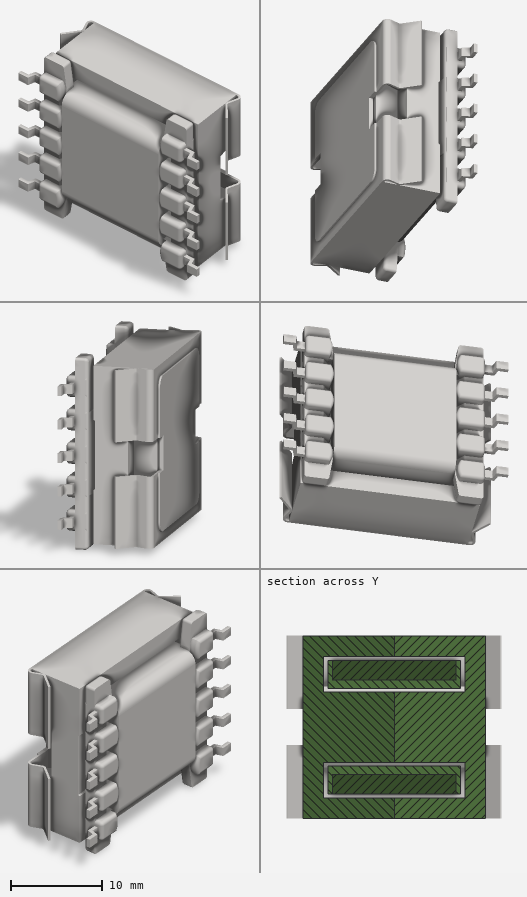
import cadquery as cq
import math


CORE_HALF_X = 10.0
CORE_HALF_Z = 10.0
CORE_FRONT_Y = 3.39
CORE_DEPTH = 6.65
CORE_BACK_Y = CORE_FRONT_Y + CORE_DEPTH
WINDOW_HALF_X = 7.7
WINDOW_HALF_Z = 7.7
LEG_HALF_Z = 4.45
LEG_FRONT_Y = 3.59
LEG_BACK_Y = 7.3
LEG_CHAMFER = 0.6
FRONT_RECESS_OUTER = 3.94
FRONT_RECESS_INNER = 3.83
BACK_RECESS_OUTER = 4.0
BACK_RECESS_INNER = 3.05

WINDING_HALF_X = 6.8
WINDING_HALF_Z = 7.33
WINDING_FRONT_Y = 0.46
WINDING_BACK_Y = 9.9
WINDING_CORNER = 1.3

HOLE_HALF_Z = 4.65
HOLE_FRONT_Y = 3.18
HOLE_BACK_Y = LEG_BACK_Y
HOLE_CHAMFER = 0.85
TUBE_WALL = 0.5
FLANGE_THICKNESS = 0.5
FLANGE_OUTER_X = WINDING_HALF_X + FLANGE_THICKNESS

RAIL_OUTER_X = 10.0
RAIL_TIP_X = 7.25
RAIL_HALF_Z = 10.74
RAIL_FRONT_Y = 1.32
RAIL_BACK_Y = 2.79
RAIL_CORNER = 0.3
RAIL_BACK_FILLET = 0.42
SLOT_OUTER_X = 7.85
SLOT_HALF_Z = 6.4
SLOT_DEEP_Y = 2.6
RAMP_START_X = 9.6

PIN_COUNT = 5
PIN_PITCH = 3.75
BLOCK_WIDTH = 2.4
BLOCK_FRONT_Y = 0.27
BLOCK_INNER_X = 6.83
END_BLOCK_SETBACK = 0.13
BLOCK_END_RISE = 0.33
BLOCK_FILLET = 0.4
PIN_WIDTH = 1.05
PIN_THICKNESS = 0.45
PIN_TIP_X = 12.54
PIN_HEEL_X = 11.18
PIN_KNEE_X = 10.9
PIN_BEND_SHIFT = 0.28

SHEET = 0.26
CLIP_BACK_Y = CORE_BACK_Y + SHEET
CLIP_HALF_Z = CORE_HALF_Z
BEND_INNER_R = 0.32
BEND_CENTRE_X = 10.15
ARM_ANGLE = math.radians(20.5)
TAIL_ANGLE = math.radians(39.5)
TAIL_LENGTH = 2.33
ELBOW_INNER_R = 0.5
CLIP_GAP_HALF_Z = 1.95
CLIP_GAP_END_X = 6.9
PAD_HALF_X = 8.45
PAD_HALF_Z = 8.72
PAD_CORNER = 1.2
PAD_BACK_Y = 10.53


def box(x0, x1, y0, y1, z0, z1):
    """Block between two opposite corners."""
    return cq.Workplane("XY").box(x1 - x0, y1 - y0, z1 - z0, centered=False).translate((x0, y0, z0))


def prism_x(points, x0, x1):
    """Extrude an outline of (y, z) points along X from x0 to x1."""
    return cq.Workplane("YZ", origin=(x0, 0, 0)).polyline(points).close().extrude(x1 - x0)


def prism_y(outline, y0, y1):
    """Extrude a closed outline drawn in (x, z) at y = 0 so that it spans y0 to y1."""
    return outline.extrude(-(y1 - y0)).translate((0, y0, 0))


def mirror_x(body):
    return body.mirror("YZ")


def make_core_half():
    """Half of the E core on the +X side."""
    body = box(0, CORE_HALF_X, CORE_FRONT_Y, CORE_BACK_Y, -CORE_HALF_Z, CORE_HALF_Z)
    window = box(0, WINDOW_HALF_X, CORE_FRONT_Y, CORE_BACK_Y, -WINDOW_HALF_Z, WINDOW_HALF_Z)
    front_recess = prism_x(
        [
            (CORE_FRONT_Y, -FRONT_RECESS_OUTER),
            (LEG_FRONT_Y, -FRONT_RECESS_INNER),
            (LEG_FRONT_Y, FRONT_RECESS_INNER),
            (CORE_FRONT_Y, FRONT_RECESS_OUTER),
        ],
        0,
        CORE_HALF_X,
    )
    back_recess = prism_x(
        [
            (CORE_BACK_Y, -BACK_RECESS_OUTER),
            (LEG_BACK_Y, -BACK_RECESS_INNER),
            (LEG_BACK_Y, BACK_RECESS_INNER),
            (CORE_BACK_Y, BACK_RECESS_OUTER),
        ],
        0,
        CORE_HALF_X,
    )
    leg = box(0, WINDOW_HALF_X, LEG_FRONT_Y, LEG_BACK_Y, -LEG_HALF_Z, LEG_HALF_Z)
    leg = leg.faces("<Y").edges("|X").chamfer(LEG_CHAMFER)
    return body.cut(window).cut(front_recess).cut(back_recess).union(leg)


def tube_outer(half_x):
    """Solid envelope of the bobbin tube."""
    half_z = HOLE_HALF_Z + TUBE_WALL
    return box(-half_x, half_x, HOLE_FRONT_Y - TUBE_WALL, HOLE_BACK_Y + TUBE_WALL, -half_z, half_z)


def make_winding():
    """Round-cornered coil with an opening for the bobbin tube."""
    coil = box(
        -WINDING_HALF_X, WINDING_HALF_X, WINDING_FRONT_Y, WINDING_BACK_Y, -WINDING_HALF_Z, WINDING_HALF_Z
    )
    return coil.edges("|X").fillet(WINDING_CORNER).cut(tube_outer(WINDING_HALF_X))


def make_rail():
    """Pin rail on the -X side with a sloping wire relief along its inner edge."""
    outline = (
        cq.Workplane("XZ")
        .moveTo(-RAIL_OUTER_X, -RAIL_HALF_Z)
        .lineTo(-RAIL_TIP_X, -RAIL_HALF_Z)
        .lineTo(-WINDING_HALF_X, -WINDOW_HALF_Z)
        .lineTo(-WINDING_HALF_X, WINDOW_HALF_Z)
        .lineTo(-RAIL_TIP_X, RAIL_HALF_Z)
        .lineTo(-RAIL_OUTER_X, RAIL_HALF_Z)
        .close()
    )
    rail = prism_y(outline, RAIL_FRONT_Y, RAIL_BACK_Y)
    rail = rail.faces("<Z or >Z").edges("|Y").fillet(RAIL_CORNER)
    rail = rail.faces(">Y").edges("<X").fillet(RAIL_BACK_FILLET)
    slot = (
        cq.Workplane("XY", origin=(0, 0, -SLOT_HALF_Z))
        .moveTo(-SLOT_OUTER_X, RAIL_FRONT_Y)
        .lineTo(-WINDING_HALF_X, SLOT_DEEP_Y)
        .lineTo(-WINDING_HALF_X, RAIL_FRONT_Y)
        .close()
        .extrude(2 * SLOT_HALF_Z)
    )
    return rail.cut(slot)


def make_ramp():
    """Wedge on the back of the rail that leads into the bobbin hole."""
    profile = (
        cq.Workplane("XY", origin=(0, 0, -HOLE_HALF_Z))
        .moveTo(-RAMP_START_X, RAIL_BACK_Y)
        .lineTo(-FLANGE_OUTER_X, HOLE_FRONT_Y)
        .lineTo(-FLANGE_OUTER_X, SLOT_DEEP_Y)
        .lineTo(-SLOT_OUTER_X, SLOT_DEEP_Y)
        .close()
    )
    return profile.extrude(2 * HOLE_HALF_Z)


def make_block(z, inner_x):
    """Rounded block around one pin, with a bowed inner end."""
    half = BLOCK_WIDTH / 2
    outline = (
        cq.Workplane("XZ")
        .moveTo(-RAIL_OUTER_X, -half)
        .lineTo(-inner_x - BLOCK_END_RISE, -half)
        .threePointArc((-inner_x, 0), (-inner_x - BLOCK_END_RISE, half))
        .lineTo(-RAIL_OUTER_X, half)
        .close()
    )
    block = prism_y(outline, BLOCK_FRONT_Y, SLOT_DEEP_Y)
    block = block.edges("|Y and <X").fillet(BLOCK_FILLET).faces("<Y").edges().fillet(BLOCK_FILLET)
    return block.translate((0, 0, z))


def make_pin(z):
    """Gull-wing pin that runs into its block."""
    rise = RAIL_FRONT_Y - PIN_THICKNESS
    return (
        cq.Workplane("XY", origin=(0, 0, z - PIN_WIDTH / 2))
        .moveTo(-PIN_TIP_X, 0)
        .lineTo(-PIN_HEEL_X, 0)
        .lineTo(-PIN_KNEE_X, rise)
        .lineTo(-SLOT_OUTER_X, rise)
        .lineTo(-SLOT_OUTER_X, RAIL_FRONT_Y)
        .lineTo(-PIN_KNEE_X - PIN_BEND_SHIFT, RAIL_FRONT_Y)
        .lineTo(-PIN_HEEL_X - PIN_BEND_SHIFT, PIN_THICKNESS)
        .lineTo(-PIN_TIP_X, PIN_THICKNESS)
        .close()
        .extrude(PIN_WIDTH)
    )


def make_bobbin_end():
    """Flange, rail, blocks and pins on the -X side."""
    end = box(
        -FLANGE_OUTER_X, -WINDING_HALF_X, SLOT_DEEP_Y, WINDING_BACK_Y, -WINDING_HALF_Z, WINDING_HALF_Z
    )
    end = end.union(make_rail()).union(make_ramp())
    for index in range(PIN_COUNT):
        z = (index - (PIN_COUNT - 1) / 2) * PIN_PITCH
        is_outermost = index in (0, PIN_COUNT - 1)
        inner_x = BLOCK_INNER_X + (END_BLOCK_SETBACK if is_outermost else 0)
        end = end.union(make_block(z, inner_x)).union(make_pin(z))
    return end


def make_bobbin():
    """One-piece bobbin: tube, two ends and the hole for the core leg."""
    end = make_bobbin_end()
    hole = box(
        -FLANGE_OUTER_X, FLANGE_OUTER_X, HOLE_FRONT_Y, HOLE_BACK_Y, -HOLE_HALF_Z, HOLE_HALF_Z
    )
    hole = hole.faces("<Y").edges("|X").chamfer(HOLE_CHAMFER)
    return tube_outer(FLANGE_OUTER_X).union(end).union(mirror_x(end)).cut(hole)


def make_clip_side():
    """Half of the clip sheet on the +X side: base, bend, arm and flared tail."""
    outer_r = BEND_INNER_R + SHEET
    centre_y = CORE_BACK_Y - BEND_INNER_R
    sweep_mid = (math.pi / 2 - ARM_ANGLE) / 2

    def on_bend(radius, angle):
        return (BEND_CENTRE_X + radius * math.cos(angle), centre_y + radius * math.sin(angle))

    inner_start = on_bend(BEND_INNER_R, -ARM_ANGLE)
    elbow_centre_x = CORE_HALF_X + ELBOW_INNER_R
    elbow_start_x = elbow_centre_x - ELBOW_INNER_R * math.cos(ARM_ANGLE)
    elbow_start_y = inner_start[1] - (inner_start[0] - elbow_start_x) / math.tan(ARM_ANGLE)
    elbow_centre_y = elbow_start_y - ELBOW_INNER_R * math.sin(ARM_ANGLE)

    def on_elbow(radius, angle):
        return (elbow_centre_x - radius * math.cos(angle), elbow_centre_y + radius * math.sin(angle))

    elbow_mid = (ARM_ANGLE - TAIL_ANGLE) / 2
    elbow_outer_r = ELBOW_INNER_R - SHEET
    tail_x = TAIL_LENGTH * math.sin(TAIL_ANGLE)
    tail_y = -TAIL_LENGTH * math.cos(TAIL_ANGLE)
    tail_inner = on_elbow(ELBOW_INNER_R, -TAIL_ANGLE)
    tail_outer = on_elbow(elbow_outer_r, -TAIL_ANGLE)
    return (
        cq.Workplane("XY", origin=(0, 0, -CLIP_HALF_Z))
        .moveTo(0, CORE_BACK_Y)
        .lineTo(BEND_CENTRE_X, CORE_BACK_Y)
        .threePointArc(on_bend(BEND_INNER_R, sweep_mid), inner_start)
        .lineTo(elbow_start_x, elbow_start_y)
        .threePointArc(on_elbow(ELBOW_INNER_R, elbow_mid), tail_inner)
        .lineTo(tail_inner[0] + tail_x, tail_inner[1] + tail_y)
        .lineTo(tail_outer[0] + tail_x, tail_outer[1] + tail_y)
        .lineTo(*tail_outer)
        .threePointArc(on_elbow(elbow_outer_r, elbow_mid), on_elbow(elbow_outer_r, ARM_ANGLE))
        .lineTo(*on_bend(outer_r, -ARM_ANGLE))
        .threePointArc(on_bend(outer_r, sweep_mid), (BEND_CENTRE_X, CLIP_BACK_Y))
        .lineTo(0, CLIP_BACK_Y)
        .close()
        .extrude(2 * CLIP_HALF_Z)
    )


def make_clip():
    """Spring clip over the back of the core, with a raised pad and a gap in each side."""
    side = make_clip_side()
    pad = box(-PAD_HALF_X, PAD_HALF_X, CORE_BACK_Y, PAD_BACK_Y, -PAD_HALF_Z, PAD_HALF_Z)
    pad = pad.edges("|Y").fillet(PAD_CORNER)
    gap = box(CLIP_GAP_END_X, PIN_TIP_X, CORE_FRONT_Y, PAD_BACK_Y, -CLIP_GAP_HALF_Z, CLIP_GAP_HALF_Z)
    return side.union(mirror_x(side)).union(pad).cut(gap).cut(mirror_x(gap))


core_half = make_core_half()
core_halves = [core_half, mirror_x(core_half)]
winding = make_winding()
bobbin = make_bobbin()
clip = make_clip()

result = cq.Compound.makeCompound(
    [*(half.val() for half in core_halves), winding.val(), bobbin.val(), clip.val()]
)